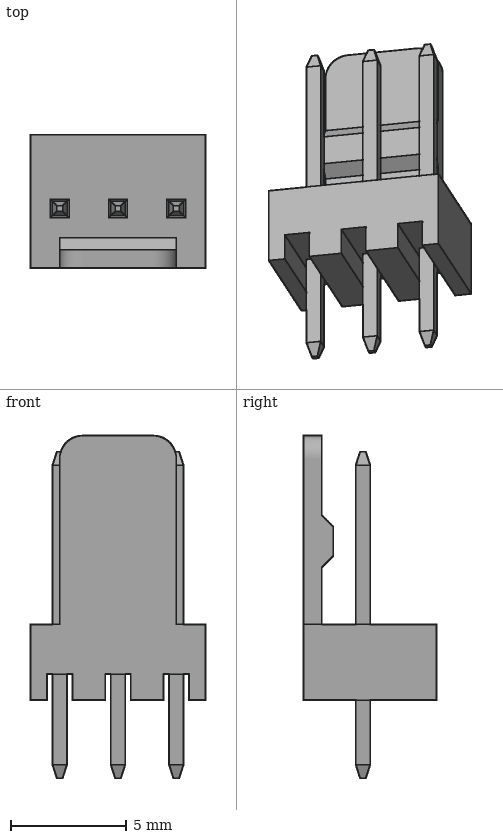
import cadquery as cq

overall_height = 14.9

pin_count = 3
pitch = 2.53
pin_width = 0.64
pin_tip_width = 0.25
pin_taper = 0.6
pin_top = 14.2
pin_y = 2.6

body_width = 7.61
body_depth = 5.8
body_bottom = 3.4
body_top = 6.69
groove_width = 1.1
groove_depth = 1.13
funnel_width = 0.82
funnel_depth = (funnel_width - pin_width) / 2

tab_width = 2 * pitch
tab_thickness = 0.8
tab_corner_radius = 1.0

catch_height = 0.5
catch_middle = 10.3
catch_flat = 1.27
catch_base = catch_flat + 2 * catch_height

pin_positions = [(i - (pin_count - 1) / 2) * pitch for i in range(pin_count)]


def block(width, depth, height, x, y, z):
    """Box centred on x, starting at y and z."""
    return cq.Workplane("XY").box(width, depth, height, centered=(True, False, False)).translate((x, y, z))


def square_taper(bottom_width, top_width, height, x, y, z):
    """Square frustum centred on x and y, starting at z."""
    return (
        cq.Workplane("XY")
        .rect(bottom_width, bottom_width)
        .workplane(offset=height)
        .rect(top_width, top_width)
        .loft(ruled=True)
        .translate((x, y, z))
    )


def make_housing():
    """Block with a full-depth groove below and a lead-in funnel above each pin."""
    housing = block(body_width, body_depth, body_top - body_bottom, 0, 0, body_bottom)
    for x in pin_positions:
        groove = block(groove_width, body_depth, groove_depth, x, 0, body_bottom)
        funnel = square_taper(pin_width, funnel_width, funnel_depth, x, pin_y, body_top - funnel_depth)
        housing = housing.cut(groove).cut(funnel)
    return housing


def make_tab():
    """Upright plate with rounded top corners and a catch ridge across its inner face."""
    plate = block(tab_width, tab_thickness, overall_height - body_top, 0, 0, body_top)
    plate = plate.edges("|Y and >Z").fillet(tab_corner_radius)
    ridge_top_y = tab_thickness + catch_height
    ridge = (
        cq.Workplane("YZ")
        .moveTo(0, catch_middle - catch_base / 2)
        .lineTo(tab_thickness, catch_middle - catch_base / 2)
        .lineTo(ridge_top_y, catch_middle - catch_flat / 2)
        .lineTo(ridge_top_y, catch_middle + catch_flat / 2)
        .lineTo(tab_thickness, catch_middle + catch_base / 2)
        .lineTo(0, catch_middle + catch_base / 2)
        .close()
        .extrude(tab_width / 2, both=True)
    )
    return plate.union(ridge)


def make_pin(x):
    """Square pin with a blunt pyramid at each end."""
    shank_top = pin_top - pin_taper
    shank = block(pin_width, pin_width, shank_top - pin_taper, x, pin_y - pin_width / 2, pin_taper)
    lower_tip = square_taper(pin_tip_width, pin_width, pin_taper, x, pin_y, 0)
    upper_tip = square_taper(pin_width, pin_tip_width, pin_taper, x, pin_y, shank_top)
    return shank.union(lower_tip).union(upper_tip)


result = make_housing().union(make_tab())
for pin_x in pin_positions:
    result = result.union(make_pin(pin_x))